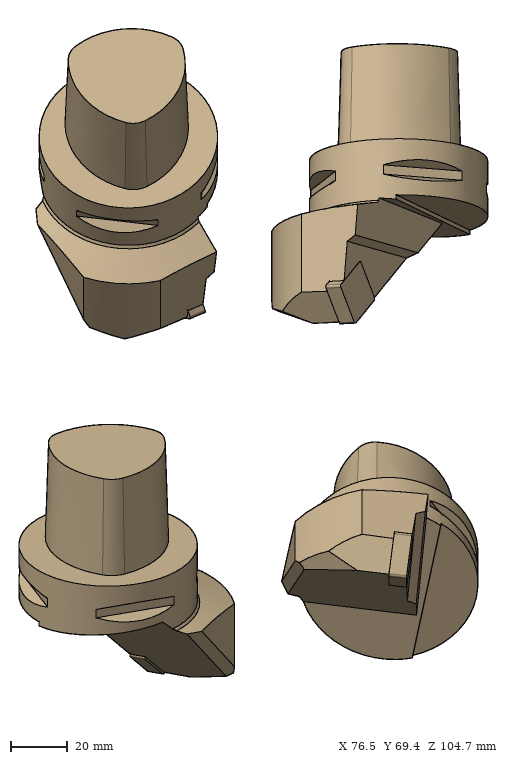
import cadquery as cq
import math

shank_height = 37.8
lobe_reach = 23.6
flank_reach = 20.4
lobe_radius = 9.4
shank_inset = 1.2

flange_radius = 31.5
flange_thickness = 20.4
thick_back_y = 13.6
thick_back_depth = 22.0
underside_slope = 0.1

notch_count = 4
notch_floor = 28.0
notch_z = -11.1
notch_floor_height = 3.4
notch_wall_angle = 30.0

head_radius = 45.0
head_floor = 73.3
head_root_depth = 10.5
neck_depth = 22.2
neck_lip = 0.8
shoulder_depth = 23.1
shoulder_rim_depth = 26.8
front_y = -37.9
slant_chamfer = 3.2
side_start = (43.7, 6.3)
side_end = (41.7, -16.9)
heel_edge_y = -18.5
heel_edge_z = -64.0
heel_angle = 25.0

rake_slope = 0.095
tip_x = 33.9
tip_y = 0.2
tip_z = -67.2
rake_step = 3.1
step_y = 9.5
step_z = -35.2
step_fall = 2.0
step_run = 3.6
insert_side = 16.2
insert_thickness = 6.3
insert_nose = 0.8
slant_overhang = 0.7
end_overhang = 0.6

block_size = 314.2


def half_space(point, normal):
    """Large block filling the side of a plane that its normal points to."""
    plane = cq.Plane(origin=point, normal=normal)
    return cq.Workplane(plane).rect(block_size, block_size).extrude(block_size)


def polar(radius, angle):
    return (radius * math.cos(math.radians(angle)), radius * math.sin(math.radians(angle)))


def make_shank():
    """Flank and lobe arcs meet tangentially; their centres lie on the lobe axes."""
    lobe_offset = lobe_reach - lobe_radius
    radius_gap = flank_reach - lobe_radius
    flank_offset = (lobe_offset**2 - radius_gap**2) / (2 * radius_gap - lobe_offset)

    def seam(lobe_angle, turn):
        lobe_x, lobe_y = polar(lobe_offset, lobe_angle)
        flank_x, flank_y = polar(flank_offset, lobe_angle - 120 * turn)
        length = math.hypot(lobe_x - flank_x, lobe_y - flank_y)
        reach = lobe_radius / length
        return (lobe_x + (lobe_x - flank_x) * reach, lobe_y + (lobe_y - flank_y) * reach)

    outline = cq.Workplane("XY").moveTo(*seam(90, -1))
    for lobe_angle in (90, 210, 330):
        outline = outline.threePointArc(polar(lobe_reach, lobe_angle), seam(lobe_angle, 1))
        outline = outline.threePointArc(polar(flank_reach, lobe_angle + 60), seam(lobe_angle + 120, -1))
    taper = math.degrees(math.atan(shank_inset / shank_height))
    return outline.close().extrude(shank_height, taper=taper)


def make_flange():
    thick_part = cq.Workplane("XY").circle(flange_radius).extrude(-neck_depth)
    thick_part = thick_part.cut(half_space((0, thick_back_y, 0), (0, 1, 0)))
    thin_part = cq.Workplane("XY").circle(flange_radius).extrude(-flange_thickness)
    below_underside = half_space((0, thick_back_y, -thick_back_depth), (0, -underside_slope, -1))
    in_front = half_space((0, thick_back_y, 0), (0, -1, 0))
    return thin_part.union(thick_part).cut(below_underside.intersect(in_front))


def make_notch():
    """V-sided notch with a flat floor, cut tangentially into the flange."""
    opening = head_radius - notch_floor
    half_floor = notch_floor_height / 2
    half_mouth = half_floor + opening * math.tan(math.radians(notch_wall_angle))
    return (
        cq.Workplane("XZ")
        .polyline([
            (notch_floor, notch_z - half_floor),
            (head_radius, notch_z - half_mouth),
            (head_radius, notch_z + half_mouth),
            (notch_floor, notch_z + half_floor),
        ])
        .close()
        .extrude(flange_radius, both=True)
    )


def make_head():
    head = (
        cq.Workplane("XZ")
        .polyline([
            (0, -head_root_depth),
            (flange_radius, -head_root_depth),
            (flange_radius, -neck_depth),
            (flange_radius + neck_lip, -shoulder_depth),
            (head_radius, -shoulder_rim_depth),
            (head_radius, -head_floor),
            (0, -head_floor),
        ])
        .close()
        .revolve(360, (0, 0, 0), (0, 1, 0))
    )
    slant_shift = slant_overhang / math.sqrt(2)
    slant_point = (tip_x + slant_shift, 0, tip_z + slant_shift)
    head = head.cut(half_space(slant_point, (-1, 0, -1)))
    head = head.cut(half_space((0, front_y, 0), (0, -1, 0)))
    chamfer_point = (slant_point[0], front_y + slant_chamfer, slant_point[2])
    head = head.cut(half_space(chamfer_point, (-1, -math.sqrt(2), -1)))

    side_normal = (side_start[1] - side_end[1], side_end[0] - side_start[0], 0)
    head = head.cut(half_space((*side_end, 0), side_normal))
    end_shift = end_overhang / math.sqrt(2)
    end_normal = (1, -2 * rake_slope, -1)
    head = head.cut(half_space((tip_x - end_shift, tip_y, tip_z + end_shift), end_normal))
    heel_normal = (0, -math.sin(math.radians(heel_angle)), -math.cos(math.radians(heel_angle)))
    head = head.cut(half_space((0, heel_edge_y, heel_edge_z), heel_normal))

    rake_normal = (rake_slope, 1, -rake_slope)
    head = head.cut(half_space((tip_x, tip_y + rake_step, tip_z), rake_normal))
    lower_rake = half_space((tip_x, tip_y, tip_z), rake_normal)
    below_step = half_space((0, step_y, step_z), (0, step_fall, -step_run))
    return head.cut(lower_rake.intersect(below_step))


def make_insert():
    """Square insert standing on its corner, its top flush with the lower rake face."""
    rake_plane = cq.Plane(
        origin=(tip_x, tip_y, tip_z), xDir=(1, 0, 1), normal=(-rake_slope, -1, rake_slope)
    )
    return (
        cq.Workplane(rake_plane)
        .rect(insert_side, insert_side, centered=False)
        .extrude(insert_thickness)
        .edges(cq.selectors.ParallelDirSelector(rake_plane.zDir))
        .fillet(insert_nose)
    )


insert = make_insert()

holder = make_flange().union(make_head())
for index in range(notch_count):
    angle = (index + 0.5) * 360 / notch_count
    holder = holder.cut(make_notch().rotate((0, 0, 0), (0, 0, 1), angle))
holder = holder.union(make_shank()).cut(insert)

result = cq.Compound.makeCompound([holder.val(), insert.val()])